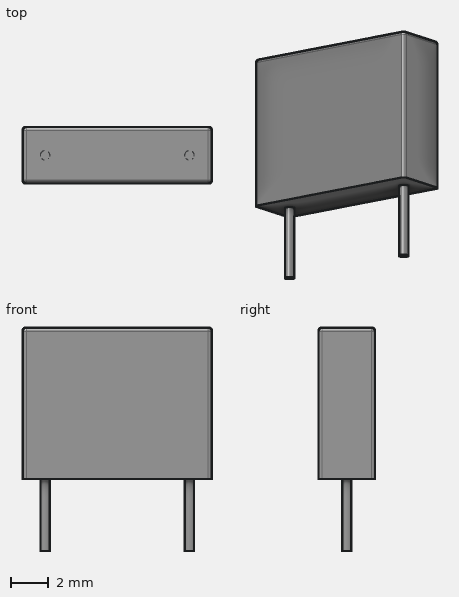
import cadquery as cq

case_length = 10.0
case_width = 3.0
case_height = 8.0
edge_radius = 0.2

lead_diameter = 0.5
lead_length = 3.8
lead_pitch = 7.62


def make_case():
    """Box with rounded upright and top edges and a sharp-edged flat underside."""
    box = cq.Workplane("XY").box(case_length, case_width, case_height, centered=(True, True, False))
    return box.edges("|Z or >Z").fillet(edge_radius)


def make_lead(x):
    """Straight round lead whose top end touches the underside of the case."""
    return cq.Workplane("XY").center(x, 0).circle(lead_diameter / 2).extrude(-lead_length)


case = make_case()
leads = [make_lead(side * lead_pitch / 2) for side in (-1, 1)]

result = cq.Compound.makeCompound([case.val(), *[lead.val() for lead in leads]])